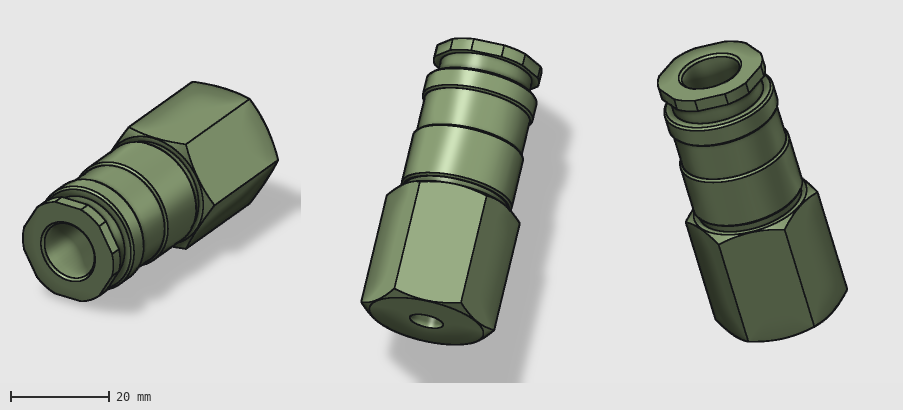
import cadquery as cq
import math

length = 58.0
collar_end = 2.55
neck_end = 6.5
front_ring_end = 11.0
waist_end = 19.1
rear_ring_end = 30.5
hex_start = 32.0

collar_diameter = 22.0
neck_diameter = 19.0
ring_diameter = 22.95
waist_diameter = 21.9
shoulder_diameter = 21.6
ring_chamfer = 0.45

collar_flats = 21.05
hex_flats = 24.0
hex_face_diameter = 23.8
hex_chamfer_angle = 30.0

socket_diameter = 12.1
socket_mouth_diameter = 13.15
socket_depth = waist_end
passage_diameter = 6.95


def plane_at(y):
    """Section plane whose normal points along +Y."""
    return cq.Workplane(cq.Plane(origin=(0, y, 0), xDir=(1, 0, 0), normal=(0, 1, 0)))


def cylinder(diameter, start, end):
    return plane_at(start).circle(diameter / 2).extrude(end - start)


def hexagon(flats, start, end):
    corners = flats / math.cos(math.pi / 6)
    return plane_at(start).polygon(6, corners).extrude(end - start)


def ring(start, end):
    return cylinder(ring_diameter, start, end).edges("%CIRCLE").chamfer(ring_chamfer)


def chamfered_hexagon():
    """Wrench hexagon with its corners turned to a cone at both ends."""
    outer_radius = hex_flats / math.sqrt(3) + 0.6
    face_radius = hex_face_diameter / 2
    cone_length = (outer_radius - face_radius) * math.tan(math.radians(hex_chamfer_angle))
    envelope = (
        cq.Workplane("XY")
        .moveTo(0, hex_start)
        .lineTo(face_radius, hex_start)
        .lineTo(outer_radius, hex_start + cone_length)
        .lineTo(outer_radius, length - cone_length)
        .lineTo(face_radius, length)
        .lineTo(0, length)
        .close()
        .revolve(360, (0, 0, 0), (0, 1, 0))
    )
    return hexagon(hex_flats, hex_start, length).intersect(envelope)


collar = cylinder(collar_diameter, 0, collar_end).intersect(hexagon(collar_flats, 0, collar_end))

body = (
    collar
    .union(cylinder(neck_diameter, collar_end, neck_end))
    .union(ring(neck_end, front_ring_end))
    .union(cylinder(waist_diameter, front_ring_end, waist_end))
    .union(ring(waist_end, rear_ring_end))
    .union(cylinder(shoulder_diameter, rear_ring_end, hex_start))
    .union(chamfered_hexagon())
)

mouth_chamfer = (socket_mouth_diameter - socket_diameter) / 2
socket = cylinder(socket_diameter, 0, socket_depth)
lead_in = plane_at(0).circle(socket_mouth_diameter / 2).extrude(mouth_chamfer, taper=45)
passage = cylinder(passage_diameter, 0, length)

result = body.cut(socket).cut(lead_in).cut(passage)